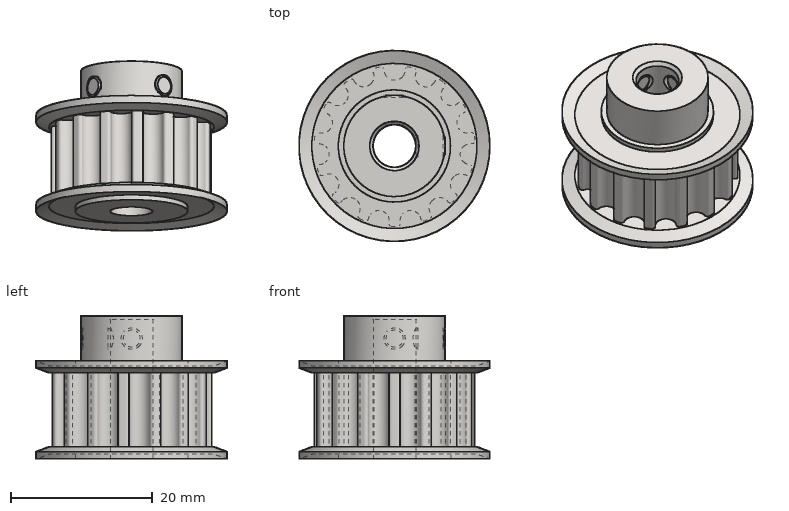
import cadquery as cq

total_height = 20.2
pulley_height = 13.88

flange_diameter = 27.0
flange_flat_diameter = 23.33
flange_thickness = 1.03
flange_dish = 0.7

collar_diameter = 15.85

hub_diameter = 14.3
bore_diameter = 6.0
bore_chamfer = 0.49

tooth_count = 15
tip_diameter = 22.73
groove_radius = 1.48
groove_depth = 2.05
tip_fillet = 0.43

screw_angles = (0, 90)
screw_height = 17.05
screw_diameter = 3.0
screw_inner_end = 3.02
screw_outer_end = hub_diameter / 2
screw_chamfer = 0.3


def make_disc(diameter, bottom, top):
    """Plain cylinder on the Z axis between two heights."""
    return cq.Workplane("XY").workplane(offset=bottom).circle(diameter / 2).extrude(top - bottom)


def make_toothed_ring():
    """Toothed cylinder with one tooth centred on -Y and the tooth corners rounded."""
    bottom = flange_dish
    top = pulley_height - flange_dish
    tooth_pitch = 360 / tooth_count
    first_groove_angle = -90 + tooth_pitch / 2
    groove_circle_radius = tip_diameter / 2 - groove_depth + groove_radius

    grooves = (
        cq.Workplane("XY")
        .workplane(offset=bottom)
        .polarArray(groove_circle_radius, first_groove_angle, 360, tooth_count)
        .circle(groove_radius)
        .extrude(top - bottom)
    )
    return make_disc(tip_diameter, bottom, top).cut(grooves).edges("|Z").fillet(tip_fillet)


def make_lower_flange():
    """Sheet profile of constant height, revolved about Z."""
    flat_radius = flange_flat_diameter / 2
    rim_radius = flange_diameter / 2
    flat_top = flange_dish + flange_thickness
    return (
        cq.Workplane("XZ")
        .polyline(
            [
                (0, flange_dish),
                (flat_radius, flange_dish),
                (rim_radius, 0),
                (rim_radius, flange_thickness),
                (flat_radius, flat_top),
                (0, flat_top),
            ]
        )
        .close()
        .revolve(360, (0, 0, 0), (0, 1, 0))
    )


def cut_bore(body):
    """Through bore, chamfered at the hub end."""
    body = body.cut(make_disc(bore_diameter, 0, total_height))
    bore_mouth = cq.selectors.RadiusNthSelector(0)
    return body.faces(">Z").edges(bore_mouth).chamfer(bore_chamfer)


def fit_set_screw(body, angle):
    """Drill a radial hole through the hub wall and fill it with a screw chamfered at both ends."""
    axis_plane = cq.Workplane("YZ").center(0, screw_height)
    screw_length = screw_outer_end - screw_inner_end
    hole = axis_plane.circle(screw_diameter / 2).extrude(hub_diameter / 2)
    screw = (
        axis_plane.workplane(offset=screw_inner_end)
        .circle(screw_diameter / 2)
        .extrude(screw_length)
        .faces("<X or >X")
        .chamfer(screw_chamfer)
    )
    hole = hole.rotate((0, 0, 0), (0, 0, 1), angle)
    screw = screw.rotate((0, 0, 0), (0, 0, 1), angle)
    return body.cut(hole).union(screw)


lower_flange = make_lower_flange()
upper_flange = lower_flange.mirror("XY").translate((0, 0, pulley_height))

result = (
    make_toothed_ring()
    .union(lower_flange)
    .union(upper_flange)
    .union(make_disc(collar_diameter, 0, pulley_height))
    .union(make_disc(hub_diameter, 0, total_height))
)
result = cut_bore(result)
for screw_angle in screw_angles:
    result = fit_set_screw(result, screw_angle)